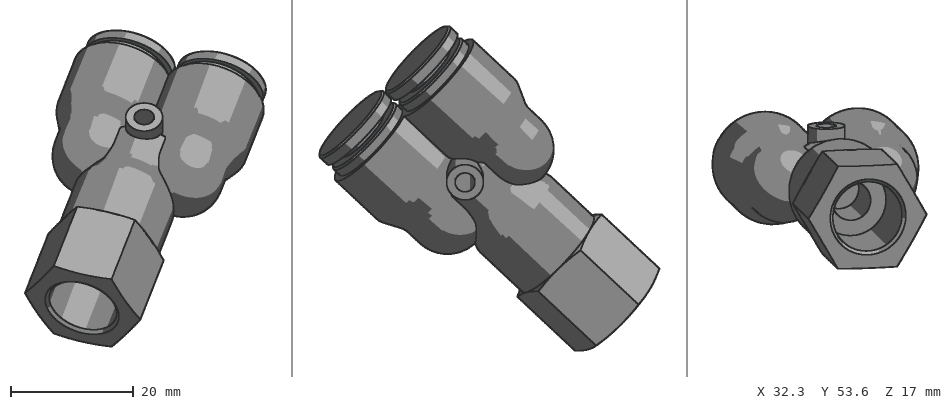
import cadquery as cq


NUT_END = 13.95
STEM_CONE_WIDE = 24.0
STEM_CONE_NARROW = 28.05
EYELET_CENTER = 35.05
CONE_LENGTH = STEM_CONE_NARROW - STEM_CONE_WIDE
BRANCH_TIP = 25.0
BRANCH_CONE_NARROW = 34.95
BRANCH_CONE_WIDE = BRANCH_CONE_NARROW + CONE_LENGTH
BRANCH_END = 48.95
COLLAR_END = 50.7
NECK_END = 51.6
TOTAL_LENGTH = 53.6

BODY_DIAMETER = 16.9
NARROW_DIAMETER = 13.1
CONE_BLEND = 2.0
STEM_TIP_BLEND = 1.0
BRANCH_OFFSET = 7.7
EYELET_DIAMETER = 6.0
EYELET_HOLE = 3.2
STEM_BORE = 6.4

ACROSS_FLATS = 17.0
ACROSS_CORNERS = ACROSS_FLATS * 2 / 3 ** 0.5
CORNER_DEPTH = 0.4
THREAD_BORE = 11.45
THREAD_CHAMFER = 0.55

COLLAR_DIAMETER = 14.7
BUTTON_WIDTH = 15.0
BUTTON_HEIGHT = 13.15
BUTTON_NECK = 9.6
EDGE_CHAMFER = 0.3


def rod(diameter, start, end, x=0.0):
    """Round bar parallel to Y between two stations."""
    plane = cq.Workplane("XZ", origin=(x, start, 0))
    return plane.circle(diameter / 2).extrude(start - end)


def housing_arm(wide_end, cone_wide, cone_narrow, tip, tip_blend):
    """Wide tube on the Y axis that tapers to a narrow one with a rounded tip.

    A blend as large as the narrow radius makes the tip a full dome.
    """
    wide = BODY_DIAMETER / 2
    narrow = NARROW_DIAMETER / 2
    inward = -1 if tip > wide_end else 1
    blend_center = (narrow - tip_blend, tip + inward * tip_blend)
    diagonal = tip_blend / 2 ** 0.5
    outline = (
        cq.Workplane("XY")
        .moveTo(0, wide_end)
        .lineTo(wide, wide_end)
        .lineTo(wide, cone_wide)
        .lineTo(narrow, cone_narrow)
        .lineTo(narrow, blend_center[1])
        .threePointArc(
            (blend_center[0] + diagonal, blend_center[1] - inward * diagonal),
            (blend_center[0], tip),
        )
    )
    if tip_blend < narrow:
        outline = outline.lineTo(0, tip)
    arm = outline.close().revolve(360, (0, 0), (0, 1))
    for station in (cone_wide, cone_narrow):
        cone_edge = cq.selectors.NearestToPointSelector((0, station, 0))
        arm = arm.edges(cone_edge).fillet(CONE_BLEND)
    return arm


def make_housing():
    """Stem, two branches and the mounting eyelet in their fork."""
    stem = housing_arm(NUT_END, STEM_CONE_WIDE, STEM_CONE_NARROW, EYELET_CENTER, STEM_TIP_BLEND)
    stem = stem.rotate((0, 0, 0), (0, 1, 0), 90)
    branch = housing_arm(
        BRANCH_END, BRANCH_CONE_WIDE, BRANCH_CONE_NARROW, BRANCH_TIP, NARROW_DIAMETER / 2
    )
    right_branch = branch.translate((BRANCH_OFFSET, 0, 0))
    left_branch = right_branch.mirror("YZ")
    housing = stem.union(right_branch).union(left_branch)

    eyelet_plane = cq.Workplane("XY", origin=(0, EYELET_CENTER, 0))
    eyelet = eyelet_plane.circle(EYELET_DIAMETER / 2).extrude(BODY_DIAMETER / 2, both=True)
    eyelet_hole = eyelet_plane.circle(EYELET_HOLE / 2).extrude(BODY_DIAMETER / 2, both=True)
    housing = housing.union(eyelet).cut(eyelet_hole)

    return housing.cut(rod(STEM_BORE, NUT_END, STEM_CONE_WIDE))


def make_nut():
    """Hexagon nut with flats facing +-Z, corner bevels at both ends and a through bore."""
    hexagon = cq.Workplane("XZ").polygon(6, ACROSS_CORNERS).extrude(-NUT_END)
    corner_bevel = (
        cq.Workplane("XY")
        .moveTo(0, 0)
        .lineTo(ACROSS_FLATS / 2, 0)
        .lineTo(ACROSS_CORNERS / 2, CORNER_DEPTH)
        .lineTo(ACROSS_CORNERS / 2, NUT_END - CORNER_DEPTH)
        .lineTo(ACROSS_FLATS / 2, NUT_END)
        .lineTo(0, NUT_END)
        .close()
        .revolve(360, (0, 0), (0, 1))
    )
    bored = hexagon.intersect(corner_bevel).cut(rod(THREAD_BORE, 0, NUT_END))
    mouth_edge = cq.selectors.RadiusNthSelector(0)
    return bored.faces("<Y").edges("%CIRCLE").edges(mouth_edge).chamfer(THREAD_CHAMFER)


def make_collar(x):
    """Retaining collar seated on the end face of one branch."""
    collar = rod(COLLAR_DIAMETER, BRANCH_END, COLLAR_END, x)
    return collar.faces(">Y").edges().chamfer(EDGE_CHAMFER)


def make_button(x):
    """Release button: oval flange on a round neck that stands on the collar."""
    flange = (
        cq.Workplane("XZ", origin=(x, NECK_END, 0))
        .ellipse(BUTTON_WIDTH / 2, BUTTON_HEIGHT / 2)
        .extrude(NECK_END - TOTAL_LENGTH)
        .faces(">Y")
        .edges()
        .chamfer(EDGE_CHAMFER)
    )
    return flange.union(rod(BUTTON_NECK, COLLAR_END, NECK_END, x))


housing = make_housing()
nut = make_nut()
collars = []
buttons = []
for branch_x in (-BRANCH_OFFSET, BRANCH_OFFSET):
    collars.append(make_collar(branch_x).val())
    buttons.append(make_button(branch_x).val())

result = cq.Compound.makeCompound([housing.val(), nut.val(), *collars, *buttons])